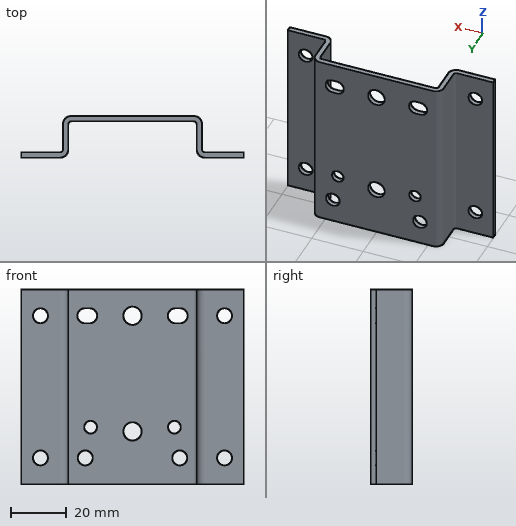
import cadquery as cq

width = 80.0
height = 70.0
depth = 15.0
thickness = 2.0
hat_width = 50.0
inner_bend = thickness / 2
outer_bend = inner_bend + thickness

fixing_diameter = 5.3
fixing_z = 25.5
flange_hole_x = 33.0
lower_hole_x = 17.0
slot_x = 16.2
slot_length = 7.0
small_diameter = 4.5
small_x = 15.0
small_z = -14.5
large_diameter = 6.5
lower_large_z = -16.0

front = -depth / 2
back = depth / 2
hat_outside = hat_width / 2
hat_inside = hat_outside - thickness


def make_sheet():
    """Hat section with its flanges at the front (-Y) and its crown at the back."""
    outline = [
        (-width / 2, front),
        (-hat_inside, front),
        (-hat_inside, back - thickness),
        (hat_inside, back - thickness),
        (hat_inside, front),
        (width / 2, front),
        (width / 2, front + thickness),
        (hat_outside, front + thickness),
        (hat_outside, back),
        (-hat_outside, back),
        (-hat_outside, front + thickness),
        (-width / 2, front + thickness),
    ]
    sheet = cq.Workplane("XY").workplane(offset=-height / 2).polyline(outline).close().extrude(height)

    def bend_edges(x, y):
        corners = [(side * x, y, 0) for side in (-1, 1)]
        return sheet.edges("|Z").filter(
            lambda edge: any((edge.Center() - cq.Vector(*corner)).Length < thickness / 2 for corner in corners)
        )

    sheet = bend_edges(hat_inside, front).fillet(outer_bend)
    sheet = bend_edges(hat_outside, back).fillet(outer_bend)
    sheet = bend_edges(hat_inside, back - thickness).fillet(inner_bend)
    return bend_edges(hat_outside, front + thickness).fillet(inner_bend)


def hole_cutter(points, diameter):
    """Round cutters along Y through the full depth."""
    return cq.Workplane("XZ").pushPoints(points).circle(diameter / 2).extrude(depth, both=True)


def mirrored(x, z):
    return [(-x, z), (x, z)]


fixing_points = (
    mirrored(flange_hole_x, fixing_z)
    + mirrored(flange_hole_x, -fixing_z)
    + mirrored(lower_hole_x, -fixing_z)
)
large_points = [(0, fixing_z), (0, lower_large_z)]

slots = (
    cq.Workplane("XZ")
    .pushPoints(mirrored(slot_x, fixing_z))
    .slot2D(slot_length, fixing_diameter)
    .extrude(depth, both=True)
)

result = (
    make_sheet()
    .cut(hole_cutter(fixing_points, fixing_diameter))
    .cut(hole_cutter(mirrored(small_x, small_z), small_diameter))
    .cut(hole_cutter(large_points, large_diameter))
    .cut(slots)
)